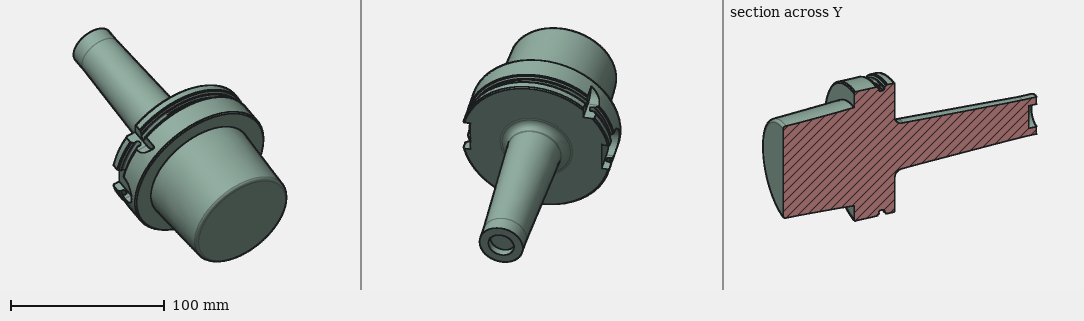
import cadquery as cq
import math

total_length = 179.0
nose_length = 10.0
neck_end = 94.2
flange_front = 100.0
flange_back = 129.0

root_fillet = 10.0 / 2
root_rim_height = 0.2
root_rim_radius = 24.2
root_start = flange_front - root_rim_height - root_fillet

nose_radius = 29.0 / 2
neck_radius = 35.6 / 2
flange_radius = 100.0 / 2
taper_large_radius = 38.1
taper_small_radius = 35.6
taper_end_round = 2.0
flange_chamfer = 0.9

groove_center = 109.4
groove_mouth_width = 7.9
groove_flare_width = 5.9
groove_floor_width = 3.8
groove_floor_radius = 46.2
groove_shoulder_radius = 48.3
groove_flare_radius = 49.5
groove_corner_round = 1.0

bore_diameter = 17.0
bore_depth = 5.4

slot_floor_offset = 43.9
slot_end = 124.2
slot_end_radius = 10.2
narrow_slot_width = 2 * slot_end_radius
wide_slot_width = 22.4

notch_offset = 31.5
notch_floor_end = 113.8
notch_runout_radius = 9.5


def make_body():
    """Revolve the nose, neck, flange and rear taper about the X axis."""
    root_end = root_start + root_fillet
    mid_x = root_start + root_fillet * math.sin(math.pi / 4)
    mid_radius = neck_radius + root_fillet * (1 - math.cos(math.pi / 4))
    return (
        cq.Workplane("XY")
        .lineTo(0, nose_radius)
        .lineTo(nose_length, nose_radius)
        .lineTo(neck_end, neck_radius)
        .lineTo(root_start, neck_radius)
        .threePointArc((mid_x, mid_radius), (root_end, neck_radius + root_fillet))
        .lineTo(flange_front, root_rim_radius)
        .lineTo(flange_front, flange_radius - flange_chamfer)
        .lineTo(flange_front + flange_chamfer, flange_radius)
        .lineTo(flange_back - flange_chamfer, flange_radius)
        .lineTo(flange_back, flange_radius - flange_chamfer)
        .lineTo(flange_back, taper_large_radius)
        .lineTo(total_length, taper_small_radius)
        .lineTo(total_length, 0)
        .close()
        .revolve(360, (0, 0, 0), (1, 0, 0))
        .faces(">X")
        .edges()
        .fillet(taper_end_round)
    )


def make_groove():
    """Ring with rounded floor corners, straight lower walls and a two-step flared mouth."""
    half_mouth = groove_mouth_width / 2
    half_flare = groove_flare_width / 2
    half_floor = groove_floor_width / 2
    half_profile = [
        (half_floor, groove_floor_radius),
        (half_floor, groove_shoulder_radius),
        (half_flare, groove_flare_radius),
        (half_mouth, flange_radius),
    ]
    right_side = [(groove_center + offset, radius) for offset, radius in half_profile]
    left_side = [(groove_center - offset, radius) for offset, radius in reversed(half_profile)]
    ring = (
        cq.Workplane("XY")
        .polyline(right_side + left_side)
        .close()
        .revolve(360, (0, 0, 0), (1, 0, 0))
    )
    floor_edges = cq.selectors.RadiusNthSelector(0)
    return ring.edges(floor_edges).fillet(groove_corner_round)


def make_slot(side, width):
    """Drive slot on the +Y (side = 1) or -Y (side = -1) edge of the flange."""
    depth = flange_radius - slot_floor_offset
    corner_x = slot_end - slot_end_radius
    corner_z = width / 2 - slot_end_radius
    straight = cq.Workplane("XY").box(
        corner_x - flange_front, depth, width, centered=(False, True, True)
    ).translate((flange_front, 0, 0))
    corners = [(corner_x, corner_z)]
    if corner_z > 0:
        corners.append((corner_x, -corner_z))
    rounds = (
        cq.Workplane("XZ", origin=(0, depth / 2, 0))
        .pushPoints(corners)
        .circle(slot_end_radius)
        .extrude(depth)
    )
    slot = straight.union(rounds)
    if corner_z > 0:
        end_wall = cq.Workplane("XY").box(
            slot_end_radius, depth, 2 * corner_z, centered=(False, True, True)
        )
        slot = slot.union(end_wall.translate((corner_x, 0, 0)))
    return slot.translate((0, side * (slot_floor_offset + depth / 2), 0))


def make_notch():
    """Notch in the -Y, +Z quadrant with a flat floor and a curved run-out."""
    depth = flange_radius - notch_offset
    floor_length = notch_floor_end - flange_front
    straight = cq.Workplane("XY").box(floor_length, depth, depth, centered=False)
    runout = (
        cq.Workplane("XZ", origin=(floor_length, depth, 0))
        .center(0, notch_runout_radius)
        .circle(notch_runout_radius)
        .extrude(depth)
    )
    return straight.union(runout).translate((flange_front, -flange_radius, notch_offset))


bore = cq.Workplane("YZ").circle(bore_diameter / 2).extrude(bore_depth)

result = (
    make_body()
    .cut(make_groove())
    .cut(make_slot(-1, narrow_slot_width))
    .cut(make_slot(1, wide_slot_width))
    .cut(make_notch())
    .cut(bore)
)